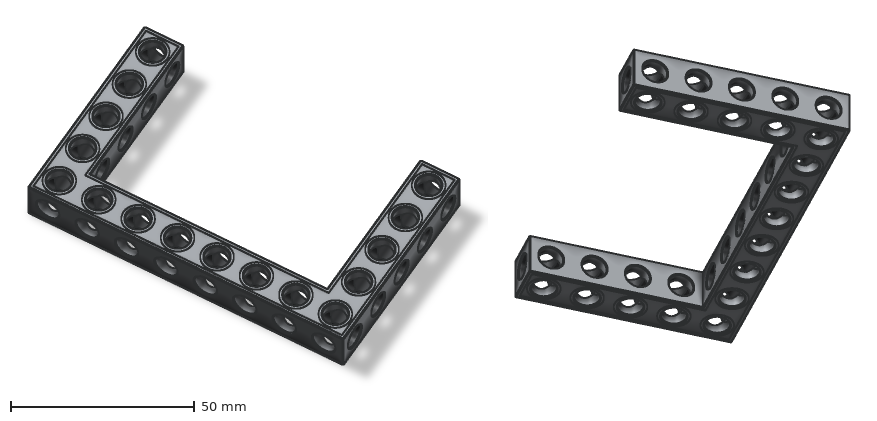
import cadquery as cq


hole_pitch = 12.5
columns = 8
rows = 5
hole_diameter = 7
hole_chamfer = 0.3
ring_diameter = 9.2
edge_chamfer = 0.3
rim_width = 1.1
recess_depth = 0.2

tolerance = 0.01

bar = hole_pitch
length = columns * hole_pitch
depth = rows * hole_pitch
centre = bar / 2

column_places = [(i + 0.5) * hole_pitch for i in range(columns)]
row_places = [(i + 0.5) * hole_pitch for i in range(rows)]
arm_places = [column_places[0], column_places[-1]]
top_places = [(x, centre) for x in column_places]
top_places += [(x, y) for x in arm_places for y in row_places[1:]]


def u_plate(inset, height, bottom):
    """U-shaped plate with its outline drawn in by the inset on every side."""
    left_arm_inside = bar - inset
    right_arm_inside = length - bar + inset
    arm_end = depth - inset
    outline = (
        cq.Workplane("XY", origin=(0, 0, bottom))
        .moveTo(inset, inset)
        .lineTo(length - inset, inset)
        .lineTo(length - inset, arm_end)
        .lineTo(right_arm_inside, arm_end)
        .lineTo(right_arm_inside, bar - inset)
        .lineTo(left_arm_inside, bar - inset)
        .lineTo(left_arm_inside, arm_end)
        .lineTo(inset, arm_end)
        .close()
    )
    return outline.extrude(height)


def recess(bottom):
    """Shallow pocket inside the rim, leaving a flush ring around every hole."""
    rings = (
        cq.Workplane("XY", origin=(0, 0, bottom))
        .pushPoints(top_places)
        .circle(ring_diameter / 2)
        .extrude(recess_depth)
    )
    return u_plate(rim_width, recess_depth, bottom).cut(rings)


def bore(start, direction, span):
    """Round hole of the given length, widened by a chamfer at both mouths."""
    radius = hole_diameter / 2
    mouth = radius + hole_chamfer
    profile = (
        cq.Workplane("XZ")
        .moveTo(0, 0)
        .lineTo(mouth, 0)
        .lineTo(radius, hole_chamfer)
        .lineTo(radius, span - hole_chamfer)
        .lineTo(mouth, span)
        .lineTo(0, span)
        .close()
    )
    cutter = profile.revolve(360, (0, 0, 0), (0, 1, 0)).val()
    return cutter.moved(cq.Plane(origin=start, normal=direction).location)


def is_outside_edge(edge):
    """False for the two upright edges in the inside corners of the U."""
    middle = edge.Center()
    in_corner_x = min(abs(middle.x - bar), abs(middle.x - (length - bar))) < tolerance
    return not (in_corner_x and abs(middle.y - bar) < tolerance)


frame = u_plate(0, bar, 0).edges().filter(is_outside_edge).chamfer(edge_chamfer)
for bottom in (0, bar - recess_depth):
    frame = frame.cut(recess(bottom))

bores = [bore((x, y, 0), (0, 0, 1), bar) for x, y in top_places]

for x in column_places:
    span = depth if x in arm_places else bar
    bores.append(bore((x, 0, centre), (0, 1, 0), span))

bores.append(bore((0, centre, centre), (1, 0, 0), length))
for arm_start in (0, length - bar):
    bores += [bore((arm_start, y, centre), (1, 0, 0), bar) for y in row_places[1:]]

result = frame
for cutter in bores:
    result = result.cut(cq.Workplane(cutter))